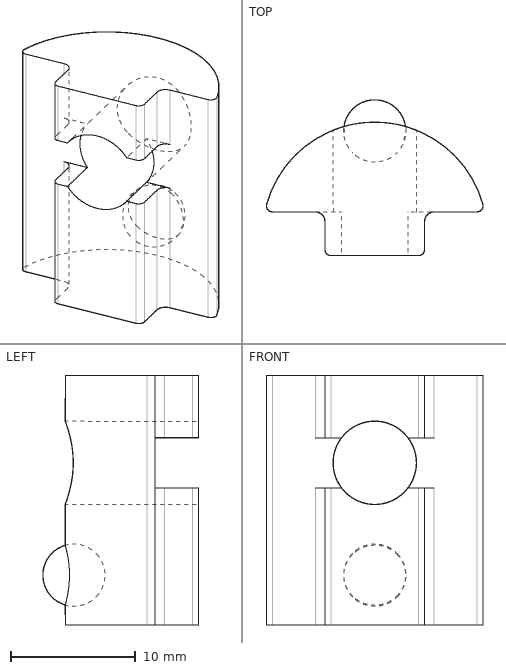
import cadquery as cq
import math

length = 20.0
stem_width = 8.0
stem_depth = 3.5
back_y = 10.7
back_radius = 9.0
back_center_y = back_y - back_radius
tip_radius = 0.5
stem_corner_radius = 0.5
neck_radius = 0.75

bore_diameter = 6.65
bore_z = 13.0
gap_height = 4.0

ball_radius = 2.5
ball_y = 10.0
ball_z = 4.0


def vertical_edges_at(body, x, y):
    """Select the pair of full-length edges at X = -x and X = +x."""
    mid_z = length / 2
    return body.edges(cq.NearestToPointSelector((-x, y, mid_z))).add(
        body.edges(cq.NearestToPointSelector((x, y, mid_z)))
    )


def make_profile_body():
    half_stem = stem_width / 2
    half_head = math.sqrt(back_radius**2 - (stem_depth - back_center_y) ** 2)
    body = (
        cq.Workplane("XY")
        .moveTo(-half_stem, 0)
        .lineTo(half_stem, 0)
        .lineTo(half_stem, stem_depth)
        .lineTo(half_head, stem_depth)
        .threePointArc((0, back_y), (-half_head, stem_depth))
        .lineTo(-half_stem, stem_depth)
        .close()
        .extrude(length)
    )
    body = vertical_edges_at(body, half_head, stem_depth).fillet(tip_radius)
    body = vertical_edges_at(body, half_stem, stem_depth).fillet(neck_radius)
    return vertical_edges_at(body, half_stem, 0).fillet(stem_corner_radius)


def make_bore():
    return (
        cq.Workplane("XZ", origin=(0, 0, bore_z))
        .circle(bore_diameter / 2)
        .extrude(-back_y)
    )


def make_stem_gap():
    gap_width = stem_width + 2 * neck_radius
    return cq.Workplane("XY", origin=(0, stem_depth / 2, bore_z)).box(gap_width, stem_depth, gap_height)


def make_ball():
    return cq.Workplane("XY", origin=(0, ball_y, ball_z)).sphere(ball_radius)


ball = make_ball()

nut = make_profile_body().cut(make_bore()).cut(make_stem_gap()).cut(ball)

result = cq.Compound.makeCompound([nut.solids().val(), ball.val()])